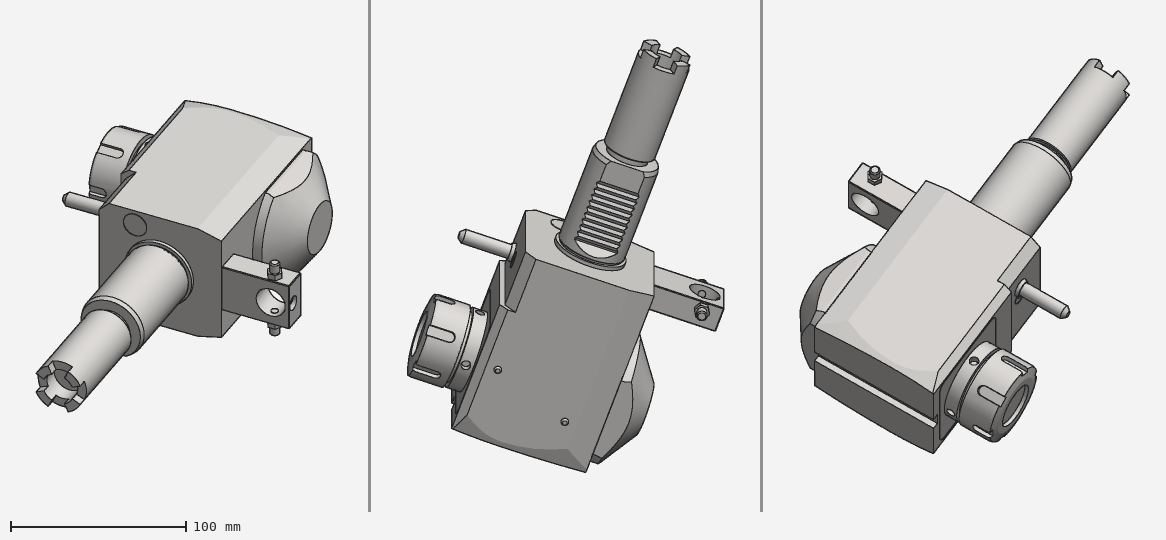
import cadquery as cq
import math


overall_length = 246.2
block_length = 115.7
block_half_height = 37.5
side_left = -42.0
side_left_front = -39.0
side_right = 39.2
step_y = 34.7
left_bevel = (5.0, 4.0)
front_bevel = (6.5, 6.2)
right_bevel_start = 24.1
right_bevel_drop = 4.0
imprint_depth = 0.2

dome_peak_x = -13.0
dome_peak_z = block_half_height - 0.66
dome_left_radius = 146.5
dome_right_radius = 367.0
dome_half_width = 64.0
dome_taper = 12.0

key_slot_width = 9.8
key_slot_depth = 4.0

spindle_y = 80.0
nut_face_x = -74.5
nut_radius = 24.9
collar_radius = 24.1

cap_radius = 40.1
cap_flat_height = 64.3 / 2
cap_rear_flat = 31.3

shank_radius = 20.0
shank_end_y = -63.3
drive_radius = 30.8 / 2
drive_end_y = block_length - overall_length

bracket_end_x = 82.0
bracket_half_height = 15.0
bracket_hole_x = 70.2
bracket_hole_radius = 18.5 / 2

pin_y = 21.0
pin_z = 16.0


def turned_y(points):
    """Solid of revolution about Y from (radius, y) points."""
    return cq.Workplane("XY").polyline(points).close().revolve(360, (0, 0, 0), (0, 1, 0))


def turned_x(points, y, z):
    """Solid of revolution about an axis along X at (y, z) from (x, radius) points."""
    profile = cq.Workplane("XY").polyline(points).close()
    return profile.revolve(360, (0, 0, 0), (1, 0, 0)).translate((0, y, z))


def rod_x(x_start, x_end, radius, y, z):
    """Cylinder along X."""
    rod = cq.Workplane("YZ", origin=(x_start, 0, 0)).center(y, z).circle(radius)
    return rod.extrude(x_end - x_start)


def box_between(low, high):
    """Box given by two opposite corners."""
    size = [b - a for a, b in zip(low, high)]
    return cq.Workplane("XY").box(*size, centered=False).translate(low)


def block_prism(left, bevel, y_start, y_end):
    """Bevelled block section, symmetric in Z, extruded along Y."""
    bevel_x, bevel_z = bevel
    upper = [
        (left, block_half_height - bevel_z),
        (left + bevel_x, block_half_height),
        (right_bevel_start, block_half_height),
        (side_right, block_half_height - right_bevel_drop),
    ]
    lower = [(x, -z) for x, z in reversed(upper)]
    section = cq.Workplane("XZ", origin=(0, y_start, 0)).polyline(upper + lower).close()
    return section.extrude(y_start - y_end)


def rear_dome():
    """Tapered envelope whose crowned top and bottom trim the rear end of the block."""
    def crown_point(radius, direction, share):
        offset = share * dome_half_width
        drop = radius - math.sqrt(radius ** 2 - offset ** 2)
        return (dome_peak_x + direction * offset, dome_peak_z - drop)

    left_mid = crown_point(dome_left_radius, -1, 0.5)
    left_end = crown_point(dome_left_radius, -1, 1)
    right_mid = crown_point(dome_right_radius, 1, 0.5)
    right_end = crown_point(dome_right_radius, 1, 1)

    def below(point):
        return (point[0], -point[1])

    peak = (dome_peak_x, dome_peak_z)
    section = (
        cq.Workplane("XZ", origin=(0, block_length, 0))
        .moveTo(*left_end)
        .threePointArc(left_mid, peak)
        .threePointArc(right_mid, right_end)
        .lineTo(*below(right_end))
        .threePointArc(below(right_mid), below(peak))
        .threePointArc(below(left_mid), below(left_end))
        .close()
    )
    return section.extrude(block_length, taper=-dome_taper)


def block():
    body = block_prism(side_left, left_bevel, step_y, block_length)
    body = body.union(block_prism(side_left_front, front_bevel, 0, step_y))
    body = body.intersect(rear_dome())

    key_slot = box_between(
        (side_left, block_length - key_slot_depth, -key_slot_width / 2),
        (side_right, block_length, key_slot_width / 2),
    )
    body = body.cut(key_slot)

    cover_length, cover_height, cover_corner = 58.0, 63.0, 6.0
    cover = (
        cq.Workplane("YZ", origin=(side_left, 0, 0))
        .center(spindle_y, 0)
        .rect(cover_length, cover_height)
        .extrude(imprint_depth)
        .edges("|X")
        .fillet(cover_corner)
    )
    body = body.cut(cover)

    plug_x, plug_z, plug_radius = -16.0, 27.5, 7.5
    plug = cq.Workplane("XZ").center(plug_x, plug_z).circle(plug_radius).extrude(-imprint_depth)
    body = body.cut(plug)

    screw_z, screw_radius, socket_width, socket_depth = 5.7, 5.0, 3.5, 2.5
    body = body.cut(rod_x(side_left_front, side_left_front + imprint_depth, screw_radius, pin_y, screw_z))
    socket = (
        cq.Workplane("YZ", origin=(side_left_front, 0, 0))
        .center(pin_y, screw_z)
        .polygon(6, socket_width)
        .extrude(socket_depth)
    )
    body = body.cut(socket)

    stud_height, stud_radius, stud_tip_radius = 1.7, 2.2, 1.35
    stud_taper = math.degrees(math.atan((stud_radius - stud_tip_radius) / stud_height))
    for stud_x, stud_y in [(-30.0, 71.5), (16.7, 88.6)]:
        stud = (
            cq.Workplane("XY", origin=(stud_x, stud_y, -block_half_height))
            .circle(stud_radius)
            .extrude(-stud_height, taper=stud_taper)
        )
        body = body.union(stud)
    return body


def wrench_slot(end_x):
    """Round-ended cutter running in from the nut face, above the X axis."""
    width, floor = 6.2, 22.2
    center_x = end_x - width / 2
    return (
        cq.Workplane("XY", origin=(0, 0, floor))
        .moveTo(nut_face_x, -width / 2)
        .lineTo(center_x, -width / 2)
        .threePointArc((end_x, 0), (center_x, width / 2))
        .lineTo(nut_face_x, width / 2)
        .close()
        .extrude(nut_radius - floor)
    )


def clamping_nut():
    neck_radius = 21.2
    neck_start, neck_end = -52.5, -50.2
    bevel_start, shoulder_x, shoulder_radius = -71.5, -73.1, 24.5
    face_radius = 18.2
    body = turned_x(
        [
            (side_left + imprint_depth, 0),
            (side_left + imprint_depth, collar_radius),
            (neck_end, collar_radius),
            (neck_end, neck_radius),
            (neck_start, neck_radius),
            (neck_start, nut_radius),
            (bevel_start, nut_radius),
            (shoulder_x, shoulder_radius),
            (nut_face_x, face_radius),
            (nut_face_x, 0),
        ],
        spindle_y,
        0,
    )

    bore_radius, bore_depth = 13.5, 2.5
    body = body.cut(rod_x(nut_face_x, nut_face_x + bore_depth, bore_radius, spindle_y, 0))

    short_slot_end, long_slot_end = -61.8, -57.4
    slot_ends = [short_slot_end, long_slot_end, long_slot_end] * 2
    for i, end_x in enumerate(slot_ends):
        angle = 90 + i * 360 / len(slot_ends)
        slot = wrench_slot(end_x).rotate((0, 0, 0), (1, 0, 0), angle)
        body = body.cut(slot.translate((0, spindle_y, 0)))

    hole_count, hole_x, hole_radius, hole_depth = 4, -46.3, 2.7, 5.0
    hole = (
        cq.Workplane("XY", origin=(hole_x, 0, collar_radius - hole_depth))
        .circle(hole_radius)
        .extrude(hole_depth)
    )
    for i in range(hole_count):
        angle = i * 360 / hole_count
        body = body.cut(hole.rotate((0, 0, 0), (1, 0, 0), angle).translate((0, spindle_y, 0)))
    return body


def rear_cap():
    rim_x, end_x, end_radius = 45.0, 62.0, 16.0
    slope_start_x, slope_angle = 41.4, 12.5
    body = turned_x(
        [
            (side_right, 0),
            (side_right, cap_radius),
            (rim_x, cap_radius),
            (end_x, end_radius),
            (end_x, 0),
        ],
        spindle_y,
        0,
    )
    end_height = cap_flat_height - (end_x - slope_start_x) * math.tan(math.radians(slope_angle))
    envelope = (
        cq.Workplane("XZ", origin=(0, spindle_y + cap_rear_flat, 0))
        .polyline(
            [
                (side_right, cap_flat_height),
                (slope_start_x, cap_flat_height),
                (end_x, end_height),
                (end_x, -end_height),
                (slope_start_x, -cap_flat_height),
                (side_right, -cap_flat_height),
            ]
        )
        .close()
        .extrude(cap_rear_flat + cap_radius)
    )
    return body.intersect(envelope)


def shank():
    flange_radius, flange_end_y = 42.5 / 2, -2.35
    neck_radius, neck_end_y = 24.9 / 2, -67.2
    groove_radius, groove_end_y = 19.2, -3.7
    chamfer_length, chamfer_depth = 3.0, 1.0
    drive_chamfer = 0.62
    body = turned_y(
        [
            (0, 0),
            (flange_radius, 0),
            (flange_radius, flange_end_y),
            (groove_radius, flange_end_y),
            (groove_radius, groove_end_y),
            (shank_radius, groove_end_y),
            (shank_radius, shank_end_y + chamfer_length),
            (shank_radius - chamfer_depth, shank_end_y),
            (neck_radius, shank_end_y),
            (neck_radius, neck_end_y),
            (drive_radius - drive_chamfer, neck_end_y),
            (drive_radius, neck_end_y - drive_chamfer),
            (drive_radius, drive_end_y),
            (0, drive_end_y),
        ]
    )

    flat_z, groove_depth, groove_count = -16.3, 1.1, 10
    first_groove_y, last_groove_y = -11.5, -47.5
    pitch = (first_groove_y - last_groove_y) / (groove_count - 1)
    root_z = flat_z + groove_depth
    rack = [(first_groove_y, root_z)]
    for i in range(groove_count):
        groove_y = first_groove_y - i * pitch
        rack.append((groove_y - pitch / 2, flat_z))
        if i < groove_count - 1:
            rack.append((groove_y - pitch, root_z))
    ramp_start_y = -10.5
    ramp_bottom = -shank_radius - 2.5
    outline = rack + [
        (shank_end_y, flat_z),
        (shank_end_y, ramp_bottom),
        (ramp_start_y + root_z - ramp_bottom, ramp_bottom),
        (ramp_start_y, root_z),
    ]
    cutter = cq.Workplane("YZ").polyline(outline).close().extrude(shank_radius, both=True)
    below_flange = box_between(
        (-shank_radius, shank_end_y, ramp_bottom),
        (shank_radius, flange_end_y, 0),
    )
    body = body.cut(cutter.intersect(below_flange))

    bore_radius, bore_depth = 9.8, 14.8
    bore = cq.Workplane("XZ", origin=(0, drive_end_y, 0)).circle(bore_radius).extrude(-bore_depth)
    body = body.cut(bore)
    claw_count, claw_length, gap_half_angle = 4, 5.5, math.radians(24.3)
    reach = 2 * drive_radius
    gap = (
        cq.Workplane("XZ", origin=(0, drive_end_y, 0))
        .polyline(
            [
                (0, 0),
                (reach, reach * math.tan(gap_half_angle)),
                (reach, -reach * math.tan(gap_half_angle)),
            ]
        )
        .close()
        .extrude(-claw_length)
    )
    for i in range(claw_count):
        body = body.cut(gap.rotate((0, 0, 0), (0, 1, 0), i * 360 / claw_count))
    return body


def pin():
    radius, foot_radius = 4.2, 5.0
    tip_x, tip_radius, cone_end_x = -71.7, 2.0, -69.0
    foot_x, foot_base_radius = -41.1, 5.7
    return turned_x(
        [
            (side_left_front, 0),
            (side_left_front, foot_base_radius),
            (foot_x, foot_radius),
            (foot_x, radius),
            (cone_end_x, radius),
            (tip_x, tip_radius),
            (tip_x, 0),
        ],
        pin_y,
        pin_z,
    )


def bracket():
    low_y, high_y, edge_chamfer = 0.7, 16.0, 0.5
    body = box_between(
        (side_right, low_y, -bracket_half_height),
        (bracket_end_x, high_y, bracket_half_height),
    )
    body = body.edges("not(<X)").chamfer(edge_chamfer)
    hole = (
        cq.Workplane("XZ", origin=(bracket_hole_x, high_y, 0))
        .circle(bracket_hole_radius)
        .extrude(high_y - low_y)
    )
    body = body.cut(hole)

    screw_y, screw_radius, screw_tip_z, tip_chamfer = 6.0, 3.0, 24.9, 0.7
    nut_corners, nut_height = 9.0, 3.7
    point_radius, point_z = 2.2, 8.9
    side_hole_radius = 4.5
    side_hole = rod_x(bracket_hole_x, bracket_end_x, side_hole_radius, screw_y, 0)
    body = body.cut(side_hole)

    screw = (
        cq.Workplane("XY", origin=(bracket_hole_x, screw_y, bracket_half_height))
        .circle(screw_radius)
        .extrude(screw_tip_z - bracket_half_height)
        .faces(">Z")
        .chamfer(tip_chamfer)
    )
    lock_nut = (
        cq.Workplane("XY", origin=(bracket_hole_x, screw_y, bracket_half_height))
        .polygon(6, nut_corners)
        .extrude(nut_height)
    )
    point = (
        cq.Workplane("XY", origin=(bracket_hole_x, screw_y, point_z))
        .circle(point_radius)
        .extrude(bracket_half_height - point_z)
    )
    fastener = screw.union(lock_nut).union(point)
    return body.union(fastener).union(fastener.mirror("XY"))


result = (
    block()
    .union(clamping_nut())
    .union(rear_cap())
    .union(shank())
    .union(pin())
    .union(bracket())
)